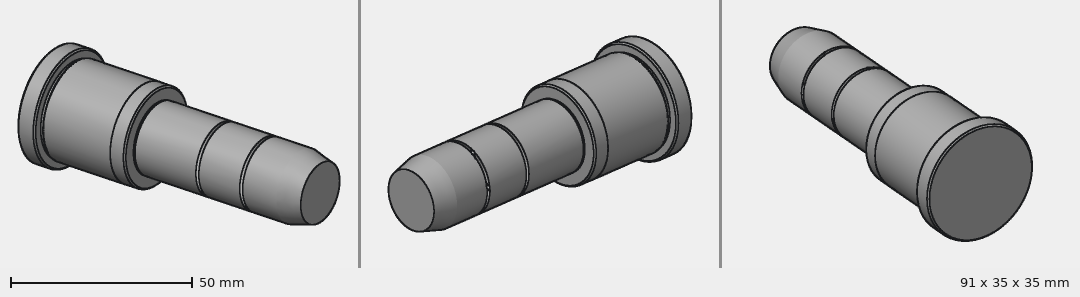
import cadquery as cq
import math

total_length = 91.0

head_diameter = 35.0
head_length = 6.0
edge_break = 0.5

body_diameter = 30.0
body_end = 35.0
undercut_depth = 0.32
undercut_width = 1.0

lead_diameter = 29.9
lead_length = 5.0

pin_diameter = 22.0
root_diameter = 21.9
root_length = 0.55

nose_length = 7.0
nose_angle = 15.0
tip_diameter = pin_diameter - 2 * nose_length * math.tan(math.radians(nose_angle))

groove_radius = 0.5
groove_centres = (57.0, 72.0)


def cylinder(start, end, diameter):
    """Solid cylinder along X between two stations."""
    return cq.Workplane("YZ", origin=(start, 0, 0)).circle(diameter / 2).extrude(end - start)


def ring_groove(centre):
    """Torus that cuts one round-bottomed groove around the pin."""
    section = cq.Workplane("XY").center(centre, pin_diameter / 2).circle(groove_radius)
    return section.revolve(360, (0, -pin_diameter / 2), (1, -pin_diameter / 2))


def make_head():
    """Head disc with both rims chamfered."""
    return cylinder(0, head_length, head_diameter).edges().chamfer(edge_break)


def make_body():
    """Undercut neck, press-fit body and a slightly thinner lead with a chamfered rim."""
    body_start = head_length + undercut_width
    lead_start = body_end - lead_length
    neck = cylinder(head_length, body_start, body_diameter - 2 * undercut_depth)
    fit = cylinder(body_start, lead_start, body_diameter)
    lead = cylinder(lead_start, body_end, lead_diameter).edges(">X").chamfer(edge_break)
    return neck.union(fit).union(lead)


def make_nose(start):
    """Conical nose narrowing from the pin diameter to the flat tip."""
    base = cq.Workplane("YZ", origin=(start, 0, 0)).circle(pin_diameter / 2)
    return base.workplane(offset=nose_length).circle(tip_diameter / 2).loft(ruled=True)


def make_pin():
    """Grooved pin with a slightly relieved root and a conical nose."""
    root_end = body_end + root_length
    nose_start = total_length - nose_length
    root = cylinder(body_end, root_end, root_diameter)
    shank = cylinder(root_end, nose_start, pin_diameter)
    for centre in groove_centres:
        shank = shank.cut(ring_groove(centre))
    return root.union(shank).union(make_nose(nose_start))


result = make_head().union(make_body()).union(make_pin())